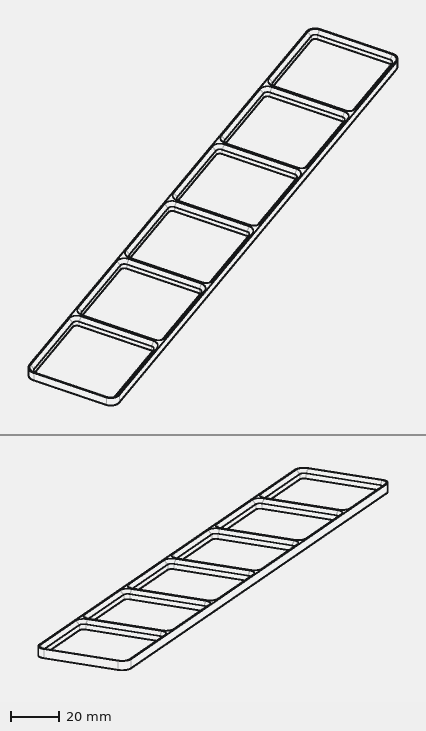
import cadquery as cq

cell_count = 6
length = 252.0
height = 4.0
pitch = length / cell_count
corner_radius = 4.0

rim_width = 0.48
flare = 1.66
flare_angle = 45
mouth_size = pitch - 2 * rim_width
mouth_radius = corner_radius - rim_width
throat_size = mouth_size - 2 * flare
throat_radius = mouth_radius - flare


def rounded_block(size_x, size_y, radius):
    """Full-height block standing on the XY plane, with rounded vertical edges."""
    block = cq.Workplane("XY").box(size_x, size_y, height, centered=(True, True, False))
    return block.edges("|Z").fillet(radius)


def cell_opening():
    """Solid shape of the space inside one cell, centred on the Z axis."""
    throat = rounded_block(throat_size, throat_size, throat_radius)
    mouth_outline = cq.Sketch().rect(mouth_size, mouth_size).vertices().fillet(mouth_radius)
    top_plane = cq.Workplane("XY", origin=(0, 0, height))
    mouth = top_plane.placeSketch(mouth_outline).extrude(-flare, taper=flare_angle)
    return throat.union(mouth)


frame = rounded_block(pitch, length, corner_radius)
opening = cell_opening()
for index in range(cell_count):
    center_y = (index - (cell_count - 1) / 2) * pitch
    frame = frame.cut(opening.translate((0, center_y, 0)))

result = frame